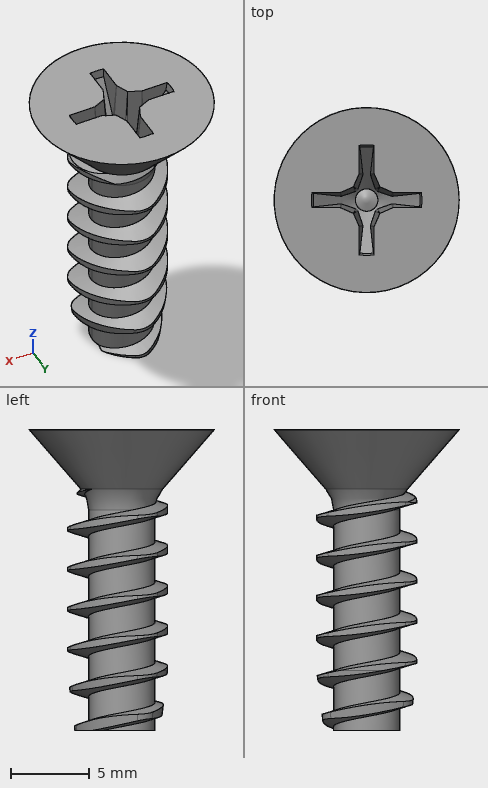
import cadquery as cq
import math


LENGTH = 19.05
HEAD_DIAMETER = 11.73
HEAD_ANGLE = 82.0
CORE_DIAMETER = 4.2
NECK_FILLET = 2.0

PITCH = 2.54
FLANK_ANGLE = 15.0
SHARP_CREST_WIDTH = 0.17
CREST_PHASE = -0.58
TURNS = 8
ROOT_OVERLAP = 0.2
CREST_OVERLAP = 0.1

THREAD_WIDTH = 6.35
LOBE_OFFSET = 2.0
LOBE_ANGLES = (90, 210, 330)
ARC_HALF_SPAN = 30
TIP_TAPER_LENGTH = 1.5 * PITCH
TIP_TAPER_ANGLE = 7.0
HEAD_OVERLAP = 0.3

RECESS_RADIUS = 3.5
RECESS_END_DEPTH = 0.55
RECESS_END_INSET = 0.12
RECESS_FLOOR_SLOPE = 1.25
RECESS_FLOOR_RADIUS = 0.71
RECESS_PEAK_HEIGHT = 0.25
ARM_HALF_WIDTH = 0.475
ARM_REACH = RECESS_RADIUS + 1
ARM_FLARE_START = 1.67
FLARE_CORNER = 0.84
ARM_WALL_DRAFT = 5.0

HEAD_RADIUS = HEAD_DIAMETER / 2
CORE_RADIUS = CORE_DIAMETER / 2
HEAD_SLOPE = math.tan(math.radians(HEAD_ANGLE / 2))
HEAD_HEIGHT = (HEAD_RADIUS - CORE_RADIUS) / HEAD_SLOPE

NECK_TANGENT = NECK_FILLET * math.tan(math.radians(HEAD_ANGLE / 4))
NECK_Z = LENGTH - HEAD_HEIGHT + NECK_TANGENT * math.cos(math.radians(HEAD_ANGLE / 2))
NECK_RADIUS = CORE_RADIUS + NECK_TANGENT * math.sin(math.radians(HEAD_ANGLE / 2))

LOBE_RADIUS = (THREAD_WIDTH - LOBE_OFFSET * math.sqrt(3)) / 2
LOBE_REACH = LOBE_OFFSET + LOBE_RADIUS


def polar(radius, angle):
    """Point at a radius and an angle in degrees."""
    turn = math.radians(angle)
    return (radius * math.cos(turn), radius * math.sin(turn))


def turned(profile):
    """Solid of revolution about Z from (radius, height) points."""
    return cq.Workplane("XZ").polyline(profile).close().revolve(360, (0, 0), (0, 1))


def make_core_and_head():
    """Plain shank and countersunk head with a filleted neck."""
    profile = [
        (0, 0),
        (CORE_RADIUS, 0),
        (CORE_RADIUS, LENGTH - HEAD_HEIGHT),
        (HEAD_RADIUS, LENGTH),
        (0, LENGTH),
    ]
    body = turned(profile)
    neck = cq.selectors.NearestToPointSelector((CORE_RADIUS, 0, LENGTH - HEAD_HEIGHT))
    return body.edges("%CIRCLE").edges(neck).fillet(NECK_FILLET)


def lobed_wire(z, inset):
    """Closed outline of three small lobe arcs joined by three large arcs, offset inward."""
    lobe_radius = LOBE_RADIUS - inset
    flat_radius = THREAD_WIDTH - LOBE_RADIUS - inset

    def arc(centre_angle, radius, facing):
        centre = cq.Vector(*polar(LOBE_OFFSET, centre_angle), z)
        swings = (-ARC_HALF_SPAN, 0, ARC_HALF_SPAN)
        points = [centre + cq.Vector(*polar(radius, facing + swing)) for swing in swings]
        return cq.Edge.makeThreePointArc(*points)

    edges = []
    for angle in LOBE_ANGLES:
        edges.append(arc(angle, lobe_radius, angle))
        flat_facing = angle + 2 * ARC_HALF_SPAN
        edges.append(arc(flat_facing + 180, flat_radius, flat_facing))
    return cq.Wire.assembleEdges(edges)


def make_thread_envelope():
    """Lobed prism that tapers at the tip and is cut back at 45 degrees below the head."""
    tip_inset = TIP_TAPER_LENGTH * math.tan(math.radians(TIP_TAPER_ANGLE))
    full_outline = lobed_wire(TIP_TAPER_LENGTH, 0)
    tip = cq.Solid.makeLoft([lobed_wire(0, tip_inset), full_outline], True)
    top_z = NECK_Z + HEAD_OVERLAP
    top_radius = NECK_RADIUS - HEAD_OVERLAP
    straight = cq.Solid.extrudeLinear(full_outline, [], cq.Vector(0, 0, top_z - TIP_TAPER_LENGTH))
    cut_back = [
        (0, 0),
        (LOBE_REACH, 0),
        (LOBE_REACH, top_z - (LOBE_REACH - top_radius)),
        (top_radius, top_z),
        (0, top_z),
    ]
    limit = turned(cut_back)
    return cq.Workplane(tip.fuse(straight)).intersect(limit)


def make_thread_ridge():
    """Right-handed helical ridge, trimmed to the lobed envelope."""
    start_z = CREST_PHASE - PITCH
    root_radius = CORE_RADIUS - ROOT_OVERLAP
    crest_radius = LOBE_REACH + CREST_OVERLAP

    def half_width(radius):
        return SHARP_CREST_WIDTH / 2 + (LOBE_REACH - radius) * math.tan(math.radians(FLANK_ANGLE))

    root = half_width(root_radius)
    crest = half_width(crest_radius)
    profile = [
        (root_radius, start_z - root),
        (crest_radius, start_z - crest),
        (crest_radius, start_z + crest),
        (root_radius, start_z + root),
    ]
    helix = cq.Wire.makeHelix(PITCH, TURNS * PITCH, root_radius, cq.Vector(0, 0, start_z))
    ridge = cq.Workplane("XZ").polyline(profile).close().sweep(cq.Workplane(helix), isFrenet=True)
    return ridge.intersect(make_thread_envelope())


def make_recess():
    """Cross with flared inner corners and drafted walls, bounded by a conical floor."""
    end_radius = RECESS_RADIUS - RECESS_END_INSET
    floor_depth = RECESS_END_DEPTH + (end_radius - RECESS_FLOOR_RADIUS) * RECESS_FLOOR_SLOPE
    peak_depth = floor_depth - RECESS_PEAK_HEIGHT
    profile = [
        (0, LENGTH),
        (RECESS_RADIUS, LENGTH),
        (end_radius, LENGTH - RECESS_END_DEPTH),
        (RECESS_FLOOR_RADIUS, LENGTH - floor_depth),
        (0, LENGTH - peak_depth),
    ]
    bowl = turned(profile)

    quarter = [
        (ARM_REACH, -ARM_HALF_WIDTH),
        (ARM_REACH, ARM_HALF_WIDTH),
        (ARM_FLARE_START, ARM_HALF_WIDTH),
        (FLARE_CORNER, FLARE_CORNER),
        (ARM_HALF_WIDTH, ARM_FLARE_START),
    ]
    outline = []
    for quarter_turn in range(4):
        for x, y in quarter:
            for _ in range(quarter_turn):
                x, y = -y, x
            outline.append((x, y))
    cross = (
        cq.Workplane("XY", origin=(0, 0, LENGTH))
        .polyline(outline)
        .close()
        .extrude(-floor_depth, taper=ARM_WALL_DRAFT)
    )
    return bowl.intersect(cross)


result = make_core_and_head().union(make_thread_ridge()).cut(make_recess())